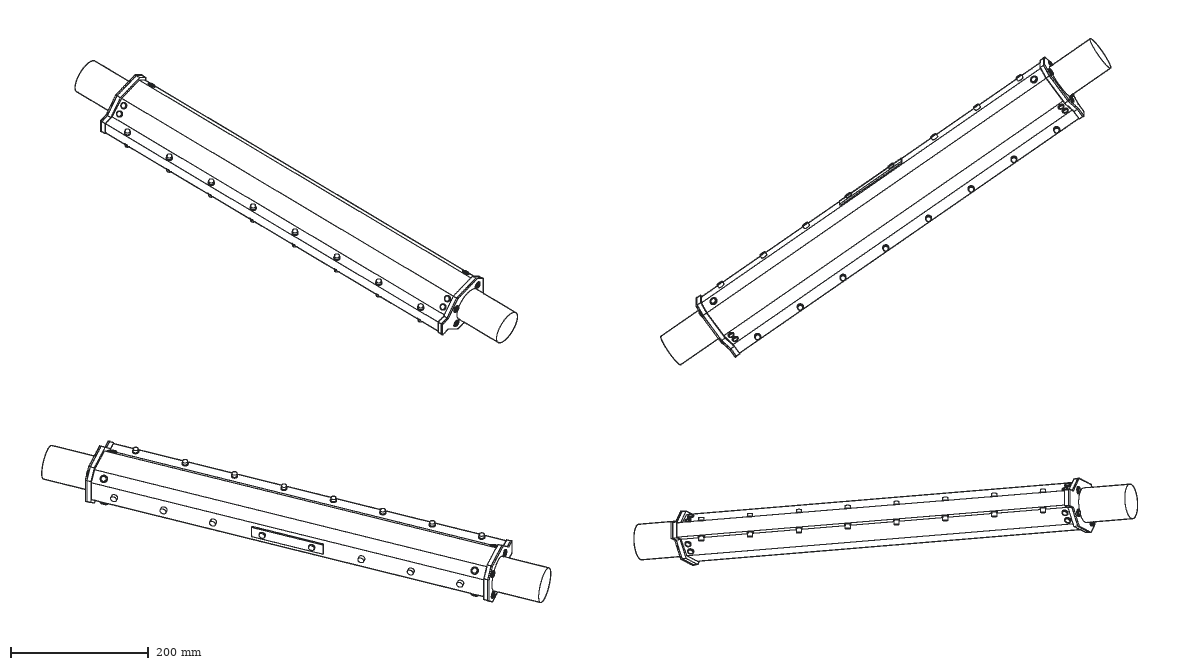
import cadquery as cq

total_length = 767.0
total_depth = 101.0
left_tube_diameter = 52.0
right_tube_diameter = 50.5

flange_span = 623.0
cover_thickness = 2.0
flange_thickness = 6.0
flange_recess = 0.4
cover_height = 71.0
cover_back = 38.0
cover_back_chamfer = 14.5
cover_front_corner = -23.0
cover_web_root = -46.0
cover_web_half_height = 12.0

housing_half_height = 31.0
housing_back = 36.0
housing_back_chamfer = 14.0
housing_front_corner = -20.0
housing_web_root = -43.0
housing_web_half_height = 11.0
housing_front = -59.0

bolt_count = 8
bolt_row_length = 534.0
web_bolt_y = -54.0
web_bolt_height = 5.0
web_nut_height = 7.0
back_bolt_height = 5.0

strip_length = 110.5
strip_width = 18.5
strip_thickness = 2.0

head_diameter = 7.6
small_washer_diameter = 9.0
large_washer_diameter = 11.0
washer_thickness = 1.15
screw_height = 2.0

end_screw_points = ((24.0, 21.0), (-27.5, 17.0))

slope_screw_inset = 17.0
slope_screw_places = (0.25, 0.7)
chamfer_screw_inset = 25.0

embed = 4.0
outer_face = flange_span / 2
cover_front = housing_back + back_bolt_height - total_depth


def section(half_height, back, back_chamfer, front_corner, web_root, web_half_height, front, length):
    """Prism along X, centred on the origin and symmetric about Z = 0."""
    upper = [
        (back, half_height - back_chamfer),
        (back - back_chamfer, half_height),
        (front_corner, half_height),
        (web_root, web_half_height),
        (front, web_half_height),
    ]
    lower = [(y, -z) for y, z in reversed(upper)]
    outline = cq.Workplane("YZ").polyline(upper + lower).close()
    return outline.extrude(length / 2, both=True)


def plate_layer(recess, thickness):
    """One layer of an end plate, its outline drawn in by recess."""
    return section(
        cover_height / 2 - recess,
        cover_back - recess,
        cover_back_chamfer,
        cover_front_corner,
        cover_web_root,
        cover_web_half_height - recess,
        cover_front + recess,
        thickness,
    )


def stud(diameter, height, point, direction):
    """Cylinder standing on a face at point and rooted below it."""
    axis = cq.Vector(*direction).normalized()
    base = cq.Vector(*point) - axis * embed
    return cq.Workplane(cq.Solid.makeCylinder(diameter / 2, height + embed, base, axis))


def screw(washer_diameter, height, point, direction):
    """Round head on a washer."""
    washer = stud(washer_diameter, washer_thickness, point, direction)
    return washer.union(stud(head_diameter, height, point, direction))


result = section(
    housing_half_height,
    housing_back,
    housing_back_chamfer,
    housing_front_corner,
    housing_web_root,
    housing_web_half_height,
    housing_front,
    flange_span - 2 * cover_thickness,
)

cover = plate_layer(0, cover_thickness)
flange = plate_layer(flange_recess, flange_thickness)
cover_x = outer_face - cover_thickness / 2
flange_x = outer_face - cover_thickness - flange_thickness / 2
tube_length = total_length / 2 - outer_face
for end, tube_diameter in ((-1, left_tube_diameter), (1, right_tube_diameter)):
    result = result.union(flange.translate((end * flange_x, 0, 0)))
    result = result.union(cover.translate((end * cover_x, 0, 0)))
    result = result.union(stud(tube_diameter, tube_length, (end * outer_face, 0, 0), (end, 0, 0)))

strip = cq.Workplane("XY").box(strip_length, strip_thickness + embed, strip_width)
result = result.union(strip.translate((0, housing_back + (strip_thickness - embed) / 2, 0)))

bolt_pitch = bolt_row_length / (bolt_count - 1)
for index in range(bolt_count):
    x = index * bolt_pitch - bolt_row_length / 2
    for side, height in ((1, web_bolt_height), (-1, web_nut_height)):
        point = (x, web_bolt_y, side * housing_web_half_height)
        result = result.union(screw(small_washer_diameter, height, point, (0, 0, side)))
    result = result.union(stud(small_washer_diameter, back_bolt_height, (x, housing_back, 0), (0, 1, 0)))

slope_run = housing_front_corner - housing_web_root
slope_drop = housing_half_height - housing_web_half_height
chamfer_y = housing_back - housing_back_chamfer / 2
chamfer_z = housing_half_height - housing_back_chamfer / 2
for end in (-1, 1):
    for side in (-1, 1):
        for y, z in end_screw_points:
            point = (end * outer_face, y, side * z)
            result = result.union(screw(large_washer_diameter, screw_height, point, (end, 0, 0)))

        for place in slope_screw_places:
            point = (
                end * (outer_face - slope_screw_inset),
                housing_front_corner - place * slope_run,
                side * (housing_half_height - place * slope_drop),
            )
            normal = (0, -slope_drop, side * slope_run)
            result = result.union(screw(small_washer_diameter, screw_height, point, normal))

        point = (end * (outer_face - chamfer_screw_inset), chamfer_y, side * chamfer_z)
        result = result.union(screw(large_washer_diameter, screw_height, point, (0, 1, side)))